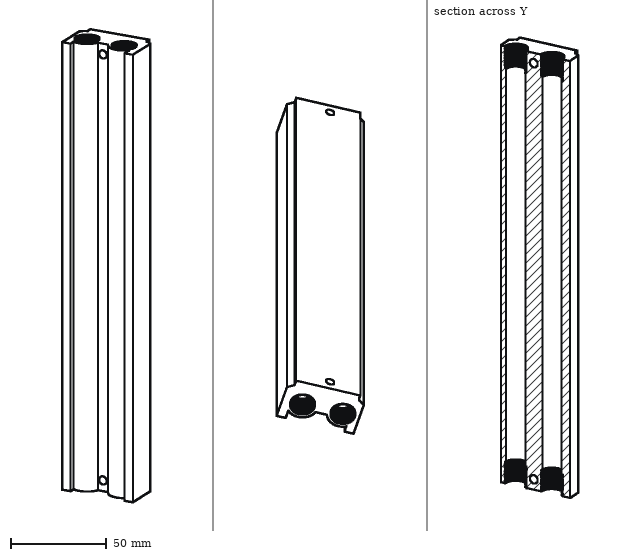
import cadquery as cq

width = 42.0
depth = 25.0
length = 249.0
back_y = depth / 2
front_y = -depth / 2

step_inset = 3.5
step_depth = 3.0
slope_end_depth = 5.4

leg_width = 5.0
floor_y = back_y - 17.0

bore_spacing = 22.0
bore_offset_x = -1.0
bore_y = back_y - 14.0
bore_diameter = 11.4
wall_radius = 8.5
bore_centers = [(bore_offset_x + side * bore_spacing / 2, bore_y) for side in (-1, 1)]

thread_diameter = 13.2
thread_pitch = 1.337
thread_turns = 9

mount_diameter = 4.5
mount_end_distance = 6.0


def bottom_plane():
    return cq.Workplane("XY").workplane(offset=-length / 2)


def make_body():
    half_width = width / 2
    channel_x = half_width - leg_width
    step_x = half_width - step_inset
    right_side = [
        (channel_x, floor_y),
        (channel_x, front_y),
        (half_width, front_y),
        (half_width, back_y - slope_end_depth),
        (step_x, back_y - step_depth),
        (step_x, back_y),
    ]
    left_side = [(-x, y) for x, y in reversed(right_side)]
    profile = bottom_plane().polyline(right_side + left_side).close()
    return profile.extrude(length)


def make_bore_cylinders(diameter):
    return bottom_plane().pushPoints(bore_centers).circle(diameter / 2).extrude(length)


def make_port_thread(center, end_side):
    """Cutter for one port: a zigzag profile revolved about the bore axis, starting at a body end."""
    root_radius = thread_diameter / 2
    crest_radius = bore_diameter / 2
    points = [(0, 0), (root_radius, 0)]
    for turn in range(thread_turns):
        points.append((crest_radius, (turn + 0.5) * thread_pitch))
        points.append((root_radius, (turn + 1) * thread_pitch))
    thread_end = (thread_turns + 0.5) * thread_pitch
    points += [(crest_radius, thread_end), (0, thread_end)]
    end_z = end_side * length / 2
    profile = [(radius, end_z - end_side * distance) for radius, distance in points]
    cutter = cq.Workplane("XZ").polyline(profile).close().revolve(360, (0, 0, 0), (0, 1, 0))
    return cutter.translate((center[0], center[1], 0))


def make_mount_holes():
    mount_z = length / 2 - mount_end_distance
    centers = [(bore_offset_x, side * mount_z) for side in (-1, 1)]
    plane = cq.Workplane("XZ", origin=(0, back_y, 0))
    return plane.pushPoints(centers).circle(mount_diameter / 2).extrude(depth)


result = make_body()
result = result.union(make_bore_cylinders(2 * wall_radius))
result = result.cut(make_bore_cylinders(bore_diameter))
for bore_center in bore_centers:
    for port_side in (-1, 1):
        result = result.cut(make_port_thread(bore_center, port_side))
result = result.cut(make_mount_holes())